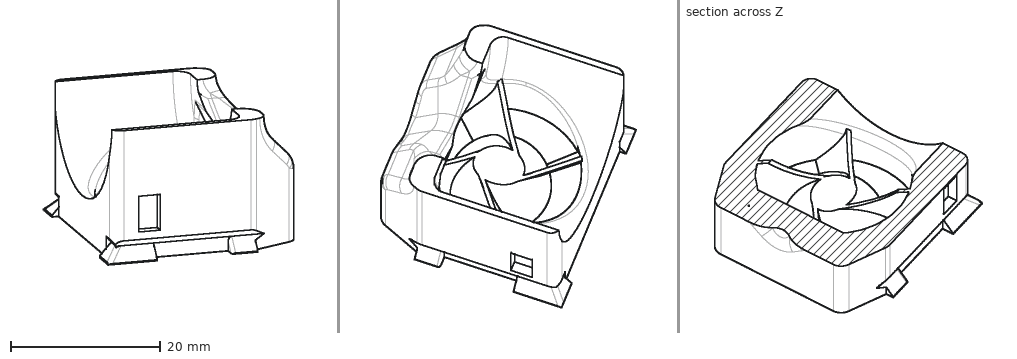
import cadquery as cq
import math

BODY_HALF = 13.35
HEIGHT = 18.2
FRONT_CORNER_RADIUS = 1.55

TAPER_START_Y = 6.5
REAR_CORNER_X = 10.4
TAPER_START_RADIUS = 2.0
REAR_CORNER_RADIUS = 1.9

TROUGH_RADIUS = 12.48
TROUGH_END_Y = 5.2
TROUGH_END_FILLET = 1.87

DUCT_BASE_RADIUS = 11.77
DUCT_TOP_RADIUS = 9.61
DUCT_TOP_Z = 14.92
DUCT_LIP_FILLET = 1.0

HUB_RADIUS = 7.03
HUB_HEIGHT = 6.6
BLADE_COUNT = 4
BLADE_FIRST_ANGLE = 45.0
BLADE_WIDTH = 0.63
BLADE_TOP_Z = 11.48
BLADE_ROOT_LEAN = (2.73, 3.45)
BLADE_TIP_LEAN = (4.02, 4.88)
BLADE_LENGTH = 13.78
BLADE_ROOTING = 0.3

SCOOP_TOP_Y = 8.45
SHOULDER_Z = 9.67
SHOULDER_RADIUS = 3.45
SCOOP_EDGE_FILLET = 1.72

NOTCH_HALF_WIDTH = 7.63
NOTCH_SHOULDER_Z = 16.73
NOTCH_TIP_Z = 12.6
NOTCH_RADIUS = 2.87
NOTCH_BEND_LENGTH = 2.3
NOTCH_BEND_Y = 7.9
NOTCH_EDGE_FILLET = 2.45

WAIST_HALF = 12.63
WAIST_Z = 2.0
GROOVE_TOP_Z = 2.87
FOOT_HALF_X = 14.35
FOOT_FRONT_Y = -14.25
FOOT_EDGE = 0.15
FOOT_CORNER_RADIUS = 0.85
REAR_FOOT_FILLET = 0.5
FRONT_FOOT_INNER_X = 10.48
FRONT_FOOT_REAR_Y = -7.38
REAR_FOOT_INNER_X = 12.05
REAR_FOOT_FRONT_Y = 3.1
REAR_FOOT_REAR_Y = 6.75

WINDOW_Y = (-9.67, -6.65)
WINDOW_Z = (3.93, 8.9)
WINDOW_DEPTH = 1.38

FAR = 34.45
DIAGONAL = math.sqrt(0.5)


def box(x_range, y_range, z_range):
    size = [end - start for start, end in (x_range, y_range, z_range)]
    corner = (x_range[0], y_range[0], z_range[0])
    return cq.Workplane("XY").box(*size, centered=False).translate(corner)


def both_sides(shape):
    return shape.union(shape.mirror("YZ"))


def edges_on_both(body, first_cutter, second_cutter):
    """Edges of the body where the faces left by two cutters meet."""
    tolerance = 0.0003
    cutters = [cq.Compound.makeCompound(cutter.faces().vals()) for cutter in (first_cutter, second_cutter)]
    found = []
    for edge in body.edges().vals():
        samples = [cq.Vertex.makeVertex(*edge.positionAt(t).toTuple()) for t in (0.2, 0.5, 0.8)]
        if all(point.distance(cutter) < tolerance for point in samples for cutter in cutters):
            found.append(edge)
    return found


def body_block():
    outline = [
        (-BODY_HALF, -BODY_HALF),
        (BODY_HALF, -BODY_HALF),
        (BODY_HALF, TAPER_START_Y),
        (REAR_CORNER_X, BODY_HALF),
        (-REAR_CORNER_X, BODY_HALF),
        (-BODY_HALF, TAPER_START_Y),
    ]
    block = cq.Workplane("XY").polyline(outline).close().extrude(HEIGHT)
    block = block.edges("|Z").edges("<Y").fillet(FRONT_CORNER_RADIUS)
    block = block.edges("|Z").edges(">Y").fillet(REAR_CORNER_RADIUS)
    taper_edges = cq.selectors.BoxSelector(
        (-FAR, TAPER_START_Y - 0.3, -FAR), (FAR, TAPER_START_Y + 0.3, FAR)
    )
    return block.edges("|Z").edges(taper_edges).fillet(TAPER_START_RADIUS)


def scoop_cut():
    """Everything above the rear roof line: concave arc, 45 degree slope, convex shoulder."""
    shoulder_y = BODY_HALF - SHOULDER_RADIUS * (1 - DIAGONAL)
    shoulder_z = SHOULDER_Z + SHOULDER_RADIUS * DIAGONAL
    half_turn = math.radians(45) / 2
    slope_sum = shoulder_y + shoulder_z
    radius = (SCOOP_TOP_Y + HEIGHT - slope_sum) / (2 * DIAGONAL - 1)
    arc_end_y = SCOOP_TOP_Y + radius * (1 - DIAGONAL)
    arc_end_z = slope_sum - arc_end_y
    arc_mid = (
        SCOOP_TOP_Y + radius * (1 - math.cos(half_turn)),
        HEIGHT - radius * math.sin(half_turn),
    )
    shoulder_mid = (
        BODY_HALF - SHOULDER_RADIUS * (1 - math.cos(half_turn)),
        SHOULDER_Z + SHOULDER_RADIUS * math.sin(half_turn),
    )
    return (
        cq.Workplane("YZ")
        .moveTo(SCOOP_TOP_Y, FAR)
        .lineTo(SCOOP_TOP_Y, HEIGHT)
        .threePointArc(arc_mid, (arc_end_y, arc_end_z))
        .lineTo(shoulder_y, shoulder_z)
        .threePointArc(shoulder_mid, (BODY_HALF, SHOULDER_Z))
        .lineTo(FAR, SHOULDER_Z)
        .lineTo(FAR, FAR)
        .close()
        .extrude(FAR, both=True)
    )


def notch_cut():
    """Rounded vee, level through the wall and then sloping down to the rear."""
    start_y = TROUGH_END_Y - TROUGH_END_FILLET
    outline = [
        (-NOTCH_HALF_WIDTH, FAR),
        (-NOTCH_HALF_WIDTH, NOTCH_SHOULDER_Z),
        (0, NOTCH_TIP_Z),
        (NOTCH_HALF_WIDTH, NOTCH_SHOULDER_Z),
        (NOTCH_HALF_WIDTH, FAR),
    ]
    half_bend = NOTCH_BEND_LENGTH / 2
    bend_start_y = NOTCH_BEND_Y - half_bend
    bend_end_y = NOTCH_BEND_Y + half_bend * DIAGONAL
    bend_end_z = NOTCH_TIP_Z - half_bend * DIAGONAL
    vee = cq.Workplane("XZ", origin=(0, start_y, 0)).polyline(outline).close()
    path = (
        cq.Workplane("YZ")
        .moveTo(start_y, NOTCH_TIP_Z)
        .lineTo(bend_start_y, NOTCH_TIP_Z)
        .tangentArcPoint((bend_end_y, bend_end_z), relative=False)
        .lineTo(FAR, bend_end_z + bend_end_y - FAR)
    )
    notch = vee.sweep(path, transition="right")
    creases = cq.selectors.BoxSelector((-FAR, -FAR, -FAR), (FAR, FAR, HEIGHT))
    return notch.edges(creases).edges("not |X").fillet(NOTCH_RADIUS)


def trough_cut():
    return (
        cq.Workplane("XZ", origin=(0, TROUGH_END_Y, HEIGHT))
        .circle(TROUGH_RADIUS)
        .extrude(FAR)
        .faces(">Y")
        .edges()
        .fillet(TROUGH_END_FILLET)
    )


def duct(margin=0.0):
    """Conical duct below the sloping rear wall; margin grows it all round."""
    tube = (
        cq.Workplane("XY")
        .circle(DUCT_BASE_RADIUS + margin)
        .workplane(offset=DUCT_TOP_Z)
        .circle(DUCT_TOP_RADIUS + margin)
        .loft(combine=True)
    )
    below_rear_wall = (
        cq.Workplane("YZ")
        .polyline([
            (-FAR, 0),
            (DUCT_BASE_RADIUS + margin, 0),
            (TROUGH_END_Y + margin, DUCT_TOP_Z),
            (-FAR, DUCT_TOP_Z),
        ])
        .close()
        .extrude(FAR, both=True)
    )
    return tube.intersect(below_rear_wall)


def hub():
    """Half-ellipsoid dome; the trough later cuts its top off."""
    quarter = (
        cq.Workplane("XZ")
        .moveTo(HUB_RADIUS, 0)
        .ellipseArc(HUB_RADIUS, HUB_HEIGHT, 0, 90, startAtCurrent=True)
        .lineTo(0, 0)
        .close()
    )
    return quarter.revolve(360, (0, 0, 0), (0, 1, 0))


def blade_section(distance, lean):
    """Curved upright strip across the blade at a distance from the fan axis."""
    half = BLADE_WIDTH / 2
    mid_shift, top_shift = (-shift for shift in lean)
    mid_z = BLADE_TOP_Z / 2
    strip = (
        cq.Workplane("YZ", origin=(distance, 0, 0))
        .moveTo(-half, 0)
        .lineTo(half, 0)
        .threePointArc((mid_shift + half, mid_z), (top_shift + half, BLADE_TOP_Z))
        .lineTo(top_shift - half, BLADE_TOP_Z)
        .threePointArc((mid_shift - half, mid_z), (-half, 0))
        .close()
    )
    return strip.val()


def hub_and_blades():
    sections = [blade_section(0, BLADE_ROOT_LEAN), blade_section(BLADE_LENGTH, BLADE_TIP_LEAN)]
    blade = cq.Workplane(obj=cq.Solid.makeLoft(sections, True))
    fan = hub()
    for i in range(BLADE_COUNT):
        angle = BLADE_FIRST_ANGLE + i * 360.0 / BLADE_COUNT
        fan = fan.union(blade.rotate((0, 0, 0), (0, 0, 1), angle))
    top_limit = cq.Workplane("XZ", origin=(0, 0, HEIGHT)).circle(TROUGH_RADIUS).extrude(FAR, both=True)
    return fan.cut(top_limit).intersect(duct(BLADE_ROOTING))


def frustum(z_low, low_half_x, low_front, z_high, high_half_x, high_front):
    """Rectangular frustum whose rear face lies well behind the part on both levels."""
    def section(z, half_x, front):
        return cq.Workplane("XY", origin=(0, (FAR + front) / 2, z)).rect(2 * half_x, FAR - front)

    low = section(z_low, low_half_x, low_front).wires().val()
    high = section(z_high, high_half_x, high_front).wires().val()
    return cq.Workplane(obj=cq.Solid.makeLoft([low, high], True))


def foot_flare():
    """Base block spreading downward from the waist, its front corners rounded."""
    spread = (FOOT_HALF_X - WAIST_HALF) * WAIST_Z / (WAIST_Z - FOOT_EDGE)
    base_half = WAIST_HALF + spread
    flare = frustum(0, base_half, -base_half, WAIST_Z, WAIST_HALF, -WAIST_HALF)
    front_corners = cq.selectors.BoxSelector(
        (-FAR, -base_half, 0), (FAR, -WAIST_HALF - spread / 4, WAIST_Z)
    )
    return flare.edges(front_corners).edges("not |X").fillet(FOOT_CORNER_RADIUS)


def feet():
    """Corner feet at the front and short side feet at the rear, with an upright rim."""
    flare = foot_flare()
    front_box = box((FRONT_FOOT_INNER_X, FAR), (-FAR, FRONT_FOOT_REAR_Y), (0, WAIST_Z))
    front_foot = flare.intersect(front_box)
    rear_box = box((REAR_FOOT_INNER_X, FAR), (REAR_FOOT_FRONT_Y, REAR_FOOT_REAR_Y), (0, WAIST_Z))
    rear_foot = flare.intersect(rear_box)
    rear_foot = rear_foot.faces("<Y").edges("not(|X or |Z)").fillet(REAR_FOOT_FILLET)
    rim_limit = box((-FOOT_HALF_X, FOOT_HALF_X), (FOOT_FRONT_Y, FAR), (0, WAIST_Z))
    return both_sides(front_foot.union(rear_foot)).intersect(rim_limit)


def add_dovetail_base(body):
    """Replace the lowest edges of the body by the waisted groove and the feet."""
    side_strip = box((WAIST_HALF, FAR), (-FAR, FAR), (0, GROOVE_TOP_Z))
    front_strip = box((FRONT_FOOT_INNER_X, FAR), (-FAR, -WAIST_HALF), (0, GROOVE_TOP_Z))
    strips = both_sides(side_strip.union(front_strip))
    groove_roof = frustum(WAIST_Z, WAIST_HALF, -WAIST_HALF, GROOVE_TOP_Z, BODY_HALF, -BODY_HALF)
    groove_roof = groove_roof.intersect(strips).intersect(body)
    behind_feet = box((-FAR, FAR), (REAR_FOOT_REAR_Y, FAR), (0, WAIST_Z))
    tapered_rear = foot_flare().intersect(behind_feet).intersect(body)
    return body.cut(strips).union(groove_roof).union(tapered_rear).union(feet())


def window_cut():
    return both_sides(box((BODY_HALF - WINDOW_DEPTH, FAR), WINDOW_Y, WINDOW_Z))


def scooped_block():
    """Body with its rear roof scooped down, the notch cut in and the ears between them rounded."""
    scoop = scoop_cut()
    notch = notch_cut()
    taper_corner = (NOTCH_HALF_WIDTH, TAPER_START_Y, SHOULDER_Z + 0.3)
    right_side = cq.selectors.BoxSelector(taper_corner, (FAR, FAR, HEIGHT - 0.3))
    left_side = cq.selectors.BoxSelector((-FAR, *taper_corner[1:]), (-NOTCH_HALF_WIDTH, FAR, HEIGHT - 0.3))
    block = body_block().cut(scoop)
    block = block.edges(right_side + left_side).fillet(SCOOP_EDGE_FILLET).cut(notch)
    notch_edges = edges_on_both(block, scoop, notch)
    return cq.Workplane(obj=block.val().fillet(NOTCH_EDGE_FILLET, notch_edges))


def cut_air_path(body):
    """Trough and duct, with their shared edge rounded."""
    trough = trough_cut()
    air_duct = duct()
    body = body.cut(trough).cut(air_duct)
    lip_edges = edges_on_both(body, trough, air_duct)
    return cq.Workplane(obj=body.val().fillet(DUCT_LIP_FILLET, lip_edges))


result = scooped_block()
result = cut_air_path(add_dovetail_base(result))
result = result.cut(window_cut()).union(hub_and_blades())